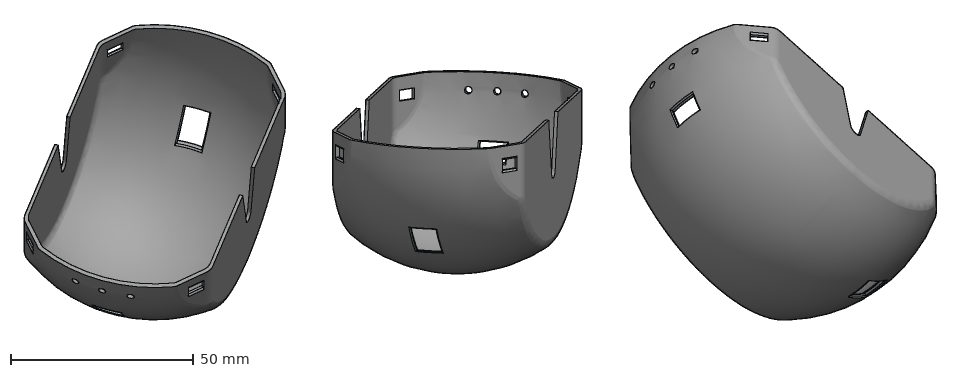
import cadquery as cq
import math

OUTER_RADIUS = 45.0
HALF_WIDTH = 27.3
CORNER_ANGLE = 41.0
CORNER_DISTANCE = 41.5
UPRIGHT_FILLET = 4.0
BALL_FILLET = 3.0
INNER_UPRIGHT_FILLET = 4.0
INNER_BALL_FILLET = 2.4

BALL_WALL = 1.3
SIDE_WALL = 1.0
CORNER_WALL = 1.2

NOTCH_HALF_WIDTH = 5.0
NOTCH_BOTTOM_RADIUS = 2.0
NOTCH_DEPTH = 17.5

VENT_DIAMETER = 2.0
VENT_SPACING = 8.0
VENT_DROP = 5.1

END_BEVEL = 0.4
FRONT_WINDOW_WIDTH = 7.8
FRONT_WINDOW_HEIGHT = 5.0
FRONT_WINDOW_DROP = 21.15
BACK_WINDOW_WIDTH = 7.2
BACK_WINDOW_HEIGHT = 8.1
BACK_WINDOW_DROP = 28.7

CORNER_BEVEL = 0.495
CORNER_WINDOW_LENGTH = 4.9
CORNER_WINDOW_HEIGHT = 3.1
CORNER_WINDOW_DROP = 5.4
CORNER_WINDOW_OFFSET = 10.9


def outline(half_width, corner_distance):
    """Plan outline: a long rectangle whose ends run to a point, trimmed later by the ball."""
    angle = math.radians(CORNER_ANGLE)
    side_y = (corner_distance - half_width * math.cos(angle)) / math.sin(angle)
    tip_y = corner_distance / math.sin(angle)
    half_outline = [(half_width, side_y), (0, tip_y), (-half_width, side_y)]
    return half_outline + [(-x, -y) for x, y in half_outline]


def rounded_ball(radius, half_width, corner_distance, upright_fillet, ball_fillet):
    """Lower half of a ball cut by the plan outline, with its edges rounded."""
    prism = (
        cq.Workplane("XY")
        .polyline(outline(half_width, corner_distance))
        .close()
        .extrude(radius, both=True)
        .edges("|Z")
        .edges(">X or <X")
        .fillet(upright_fillet)
    )
    body = prism.intersect(cq.Workplane("XY").sphere(radius))
    rounded = body.edges("not |Z").fillet(ball_fillet)
    lower_half = cq.Workplane("XY").rect(2 * radius, 2 * radius).extrude(-radius)
    return rounded.intersect(lower_half)


def notch():
    """V notch running along X through both sides, its flanks tangent to the round bottom."""
    centre_z = NOTCH_BOTTOM_RADIUS - NOTCH_DEPTH
    flank_reach = math.hypot(NOTCH_HALF_WIDTH, centre_z)
    tangent_angle = math.atan2(-centre_z, NOTCH_HALF_WIDTH) - math.acos(NOTCH_BOTTOM_RADIUS / flank_reach)
    tangent_y = NOTCH_BOTTOM_RADIUS * math.cos(tangent_angle)
    tangent_z = centre_z + NOTCH_BOTTOM_RADIUS * math.sin(tangent_angle)
    return (
        cq.Workplane("YZ")
        .moveTo(-NOTCH_HALF_WIDTH, 0)
        .lineTo(-tangent_y, tangent_z)
        .threePointArc((0, -NOTCH_DEPTH), (tangent_y, tangent_z))
        .lineTo(NOTCH_HALF_WIDTH, 0)
        .close()
        .extrude(OUTER_RADIUS, both=True)
    )


def vents():
    """Row of round holes through the -Y end only."""
    centres = [(i * VENT_SPACING, -VENT_DROP) for i in (-1, 0, 1)]
    return cq.Workplane("XZ").pushPoints(centres).circle(VENT_DIAMETER / 2).extrude(OUTER_RADIUS)


def add_end_window(body, y_side, width, height, drop):
    """Cut a level window through the -Y or +Y end and bevel its inner and outer rims."""
    cutter = (
        cq.Workplane("XY")
        .box(width, OUTER_RADIUS, height)
        .translate((0, y_side * OUTER_RADIUS / 2, -drop))
    )
    half_width = width / 2 + END_BEVEL
    half_height = height / 2 + END_BEVEL
    around_window = cq.selectors.BoxSelector(
        (-half_width, 0, -drop - half_height),
        (half_width, y_side * OUTER_RADIUS, -drop + half_height),
    )
    return body.cut(cutter).edges(around_window).edges("not |Y").chamfer(END_BEVEL)


def corner_window(x_side, y_side):
    """Cutter for one corner flat: a straight slot whose mouth flares up and down."""
    angle = math.radians(CORNER_ANGLE)
    outward = cq.Vector(x_side * math.cos(angle), y_side * math.sin(angle), 0)
    along = cq.Vector(-x_side * math.sin(angle), y_side * math.cos(angle), 0)
    centre = outward * CORNER_DISTANCE + along * CORNER_WINDOW_OFFSET - cq.Vector(0, 0, CORNER_WINDOW_DROP)
    throat = CORNER_WINDOW_HEIGHT / 2
    mouth = throat + CORNER_BEVEL
    depth = 2 * CORNER_WALL
    return (
        cq.Workplane(cq.Plane(centre, outward, along))
        .polyline(
            [
                (-depth, -throat),
                (-CORNER_BEVEL, -throat),
                (0, -mouth),
                (0, mouth),
                (-CORNER_BEVEL, throat),
                (-depth, throat),
            ]
        )
        .close()
        .extrude(CORNER_WINDOW_LENGTH / 2, both=True)
    )


bowl = rounded_ball(OUTER_RADIUS, HALF_WIDTH, CORNER_DISTANCE, UPRIGHT_FILLET, BALL_FILLET)
cavity = rounded_ball(
    OUTER_RADIUS - BALL_WALL,
    HALF_WIDTH - SIDE_WALL,
    CORNER_DISTANCE - CORNER_WALL,
    INNER_UPRIGHT_FILLET,
    INNER_BALL_FILLET,
)
result = bowl.cut(cavity).cut(notch()).cut(vents())
result = add_end_window(result, -1, FRONT_WINDOW_WIDTH, FRONT_WINDOW_HEIGHT, FRONT_WINDOW_DROP)
result = add_end_window(result, 1, BACK_WINDOW_WIDTH, BACK_WINDOW_HEIGHT, BACK_WINDOW_DROP)
for x_side in (-1, 1):
    for y_side in (-1, 1):
        result = result.cut(corner_window(x_side, y_side))